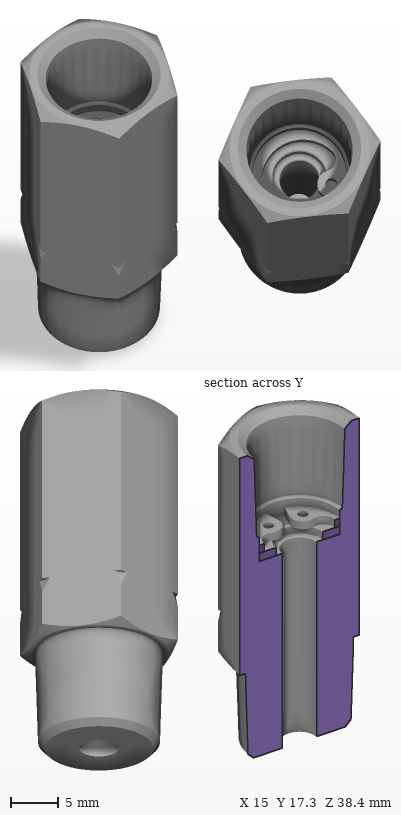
import cadquery as cq
import math

TOTAL_HEIGHT = 38.4
HEX_BOTTOM = 11.0

HEX_ACROSS_CORNERS = 17.3
HEX_CORNER_RADIUS = HEX_ACROSS_CORNERS / 2
HEX_FACE_RADIUS = 7.4
HEX_CHAMFER_ANGLE = 30.0
CORNERS = 6

NOTCH_TOP = 17.0
NOTCH_HEIGHT = 1.65
NOTCH_ANGLE = 15.0

TAPER = 1 / 32
SPIGOT_ROOT_RADIUS = 6.8
SPIGOT_CHAMFER = 0.73

MOUTH_RADIUS = 6.53
MOUTH_DEPTH = 0.75
SOCKET_RADIUS = 5.65
SOCKET_END_RADIUS = 5.35
BORE_RADIUS = 5.0
STEP_ANGLE = 30.0
SOCKET_END = TOTAL_HEIGHT - MOUTH_DEPTH - (SOCKET_RADIUS - SOCKET_END_RADIUS) / TAPER
BORE_TOP = SOCKET_END - (SOCKET_END_RADIUS - BORE_RADIUS) * math.tan(math.radians(STEP_ANGLE))

RING_TOP_GAP = 1.0
RING_THICKNESS = 1.0
WASHER_THICKNESS = 1.0
RING_BOTTOM = BORE_TOP - RING_TOP_GAP - RING_THICKNESS
BORE_FLOOR = RING_BOTTOM - WASHER_THICKNESS

PASSAGE_RADIUS = 2.1
WASHER_HOLE_RADIUS = 2.88
EDGE_CHAMFER = 0.1

RING_INNER_RADIUS = 4.4
RING_INNER_Y = -0.6
LUG_X = 2.15
LUG_Y = -2.75
LUG_RADIUS = 1.5
LUG_HOLE_RADIUS = 0.6
LUG_FILLET = 1.25


def revolved(points):
    """Solid turned about Z from a closed outline of (radius, height) points."""
    return cq.Workplane("XZ").polyline(points).close().revolve(360, (0, 0, 0), (0, 1, 0))


def cylinder(radius, bottom, top):
    return cq.Workplane("XY").workplane(offset=bottom).circle(radius).extrude(top - bottom)


def make_hexagon():
    """Hexagonal bar with conical chamfers on the corners at both ends."""
    height = TOTAL_HEIGHT - HEX_BOTTOM
    base = cq.Workplane("XY").workplane(offset=HEX_BOTTOM)
    bar = base.polygon(CORNERS, HEX_ACROSS_CORNERS).extrude(height)
    bar = bar.rotate((0, 0, 0), (0, 0, 1), 90)
    drop = (HEX_CORNER_RADIUS - HEX_FACE_RADIUS) * math.tan(math.radians(HEX_CHAMFER_ANGLE))
    envelope = revolved([
        (0, HEX_BOTTOM),
        (HEX_FACE_RADIUS, HEX_BOTTOM),
        (HEX_CORNER_RADIUS, HEX_BOTTOM + drop),
        (HEX_CORNER_RADIUS, TOTAL_HEIGHT - drop),
        (HEX_FACE_RADIUS, TOTAL_HEIGHT),
        (0, TOTAL_HEIGHT),
    ])
    return bar.intersect(envelope)


def make_notch():
    """Wedge that cuts the +Y corner, with a flat top and a sloping floor."""
    depth = NOTCH_HEIGHT * math.tan(math.radians(NOTCH_ANGLE))
    half_width = HEX_CORNER_RADIUS / 2
    outline = [
        (HEX_CORNER_RADIUS, NOTCH_TOP - NOTCH_HEIGHT),
        (HEX_CORNER_RADIUS, NOTCH_TOP),
        (HEX_CORNER_RADIUS - depth, NOTCH_TOP),
    ]
    return cq.Workplane("YZ").polyline(outline).close().extrude(half_width, both=True)


def make_spigot():
    """Tapered male end with a chamfered tip."""
    shoulder_radius = SPIGOT_ROOT_RADIUS - (HEX_BOTTOM - SPIGOT_CHAMFER) * TAPER
    return revolved([
        (0, 0),
        (shoulder_radius - SPIGOT_CHAMFER, 0),
        (shoulder_radius, SPIGOT_CHAMFER),
        (SPIGOT_ROOT_RADIUS, HEX_BOTTOM),
        (0, HEX_BOTTOM),
    ])


def make_socket():
    """Cavity for the mouth chamfer, tapered socket, bore and narrow passage."""
    return revolved([
        (0, 0),
        (PASSAGE_RADIUS, 0),
        (PASSAGE_RADIUS, BORE_FLOOR - EDGE_CHAMFER),
        (PASSAGE_RADIUS + EDGE_CHAMFER, BORE_FLOOR),
        (BORE_RADIUS, BORE_FLOOR),
        (BORE_RADIUS, BORE_TOP),
        (SOCKET_END_RADIUS, SOCKET_END),
        (SOCKET_RADIUS, TOTAL_HEIGHT - MOUTH_DEPTH),
        (MOUTH_RADIUS, TOTAL_HEIGHT),
        (0, TOTAL_HEIGHT),
    ])


def make_housing():
    housing = make_hexagon().union(make_spigot()).cut(make_socket())
    notch = make_notch()
    for corner in range(CORNERS):
        housing = housing.cut(notch.rotate((0, 0, 0), (0, 0, 1), corner * 360 / CORNERS))
    return housing


def make_washer():
    """Disc on the bore floor, with the upper edge of its hole chamfered."""
    return revolved([
        (WASHER_HOLE_RADIUS, BORE_FLOOR),
        (BORE_RADIUS, BORE_FLOOR),
        (BORE_RADIUS, RING_BOTTOM),
        (WASHER_HOLE_RADIUS + EDGE_CHAMFER, RING_BOTTOM),
        (WASHER_HOLE_RADIUS, RING_BOTTOM - EDGE_CHAMFER),
    ])


def make_retaining_ring():
    """Internal retaining ring with two round lugs beside a gap on the -Y side."""
    lug_distance = math.hypot(LUG_X, LUG_Y - RING_INNER_Y)
    lug_angle = math.atan2(LUG_X, RING_INNER_Y - LUG_Y)

    fillet_distance = RING_INNER_RADIUS - LUG_FILLET
    lug_to_fillet = LUG_RADIUS + LUG_FILLET
    cosine = (fillet_distance**2 + lug_distance**2 - lug_to_fillet**2) / (2 * fillet_distance * lug_distance)
    fillet_angle = lug_angle + math.acos(cosine)
    fillet_x = fillet_distance * math.sin(fillet_angle)
    fillet_y = RING_INNER_Y - fillet_distance * math.cos(fillet_angle)

    arc_end_x = RING_INNER_RADIUS * math.sin(fillet_angle)
    arc_end_y = RING_INNER_Y - RING_INNER_RADIUS * math.cos(fillet_angle)
    share = LUG_RADIUS / lug_to_fillet
    touch_x = LUG_X + (fillet_x - LUG_X) * share
    touch_y = LUG_Y + (fillet_y - LUG_Y) * share
    bisector_x = (arc_end_x + touch_x) / 2 - fillet_x
    bisector_y = (arc_end_y + touch_y) / 2 - fillet_y
    stretch = LUG_FILLET / math.hypot(bisector_x, bisector_y)
    middle_x = fillet_x + bisector_x * stretch
    middle_y = fillet_y + bisector_y * stretch

    gap_angle = lug_angle - math.asin(LUG_RADIUS / lug_distance)
    tangent_x = LUG_X - LUG_RADIUS * math.cos(gap_angle)
    tangent_y = LUG_Y - LUG_RADIUS * math.sin(gap_angle)
    gap_reach = 2 * BORE_RADIUS
    gap_end_x = tangent_x + gap_reach * math.sin(gap_angle)
    gap_end_y = tangent_y - gap_reach * math.cos(gap_angle)

    lug_mid_angle = (math.atan2(touch_y - LUG_Y, touch_x - LUG_X) + math.pi + gap_angle) / 2
    lug_mid_x = LUG_X + LUG_RADIUS * math.cos(lug_mid_angle)
    lug_mid_y = LUG_Y + LUG_RADIUS * math.sin(lug_mid_angle)

    opening = (
        cq.Workplane("XY").workplane(offset=RING_BOTTOM)
        .moveTo(arc_end_x, arc_end_y)
        .threePointArc((0, RING_INNER_Y + RING_INNER_RADIUS), (-arc_end_x, arc_end_y))
        .threePointArc((-middle_x, middle_y), (-touch_x, touch_y))
        .threePointArc((-lug_mid_x, lug_mid_y), (-tangent_x, tangent_y))
        .lineTo(-gap_end_x, gap_end_y)
        .lineTo(gap_end_x, gap_end_y)
        .lineTo(tangent_x, tangent_y)
        .threePointArc((lug_mid_x, lug_mid_y), (touch_x, touch_y))
        .threePointArc((middle_x, middle_y), (arc_end_x, arc_end_y))
        .close()
        .extrude(RING_THICKNESS)
    )
    ring_top = RING_BOTTOM + RING_THICKNESS
    ring = cylinder(BORE_RADIUS, RING_BOTTOM, ring_top).cut(opening)
    for side in (-1, 1):
        hole = cylinder(LUG_HOLE_RADIUS, RING_BOTTOM, ring_top)
        ring = ring.cut(hole.translate((side * LUG_X, LUG_Y, 0)))
    return ring


housing = make_housing()
washer = make_washer()
retaining_ring = make_retaining_ring()

result = cq.Compound.makeCompound([housing.val(), washer.val(), retaining_ring.val()])